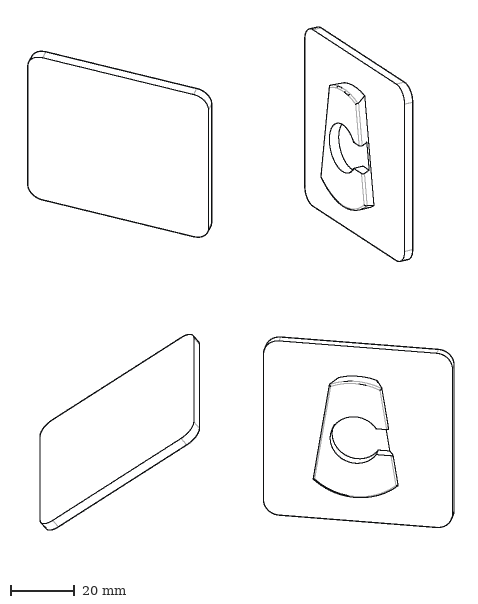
import cadquery as cq
import math

plate_side = 60.3
plate_thickness = 3.0
plate_corner_radius = 5.0

boss_height = 4.4
boss_end_radius = 20.1
boss_base_half_width = 9.1
wedge_half_angle = 8.9
flare_slope = 0.57
rim_radius = 0.55

pocket_radius = 8.0
pocket_depth = 3.45
slot_width = 8.9

back_y = plate_thickness + boss_height


def plane_at(y):
    """XZ plane at height y, with its normal toward +Y and local x reversed."""
    return cq.Workplane(cq.Plane(origin=(0, y, 0), xDir=(-1, 0, 0), normal=(0, 1, 0)))


def wedge_section(half_width):
    """Corners of a trapezoid that covers the full Z length of the boss."""
    reach = boss_end_radius
    narrowing = reach * math.tan(math.radians(wedge_half_angle))
    top = half_width - narrowing
    bottom = half_width + narrowing
    return [(-top, reach), (top, reach), (bottom, -reach), (-bottom, -reach)]


def make_plate():
    plate = plane_at(0).rect(plate_side, plate_side).extrude(plate_thickness)
    return plate.edges("|Y").fillet(plate_corner_radius)


def make_boss():
    back_half_width = boss_base_half_width + flare_slope * boss_height
    wedge = (
        plane_at(plate_thickness)
        .polyline(wedge_section(boss_base_half_width)).close()
        .workplane(offset=boss_height)
        .polyline(wedge_section(back_half_width)).close()
        .loft(ruled=True)
    )
    round_ends = plane_at(plate_thickness).circle(boss_end_radius).extrude(boss_height)
    return wedge.intersect(round_ends).faces(">Y").edges().fillet(rim_radius)


def make_pocket():
    floor = plane_at(back_y - pocket_depth)
    pocket = floor.circle(pocket_radius).extrude(pocket_depth)
    slot_length = boss_end_radius
    slot = floor.center(slot_length / 2, 0).rect(slot_length, slot_width).extrude(pocket_depth)
    return pocket.union(slot)


result = make_plate().union(make_boss()).cut(make_pocket())